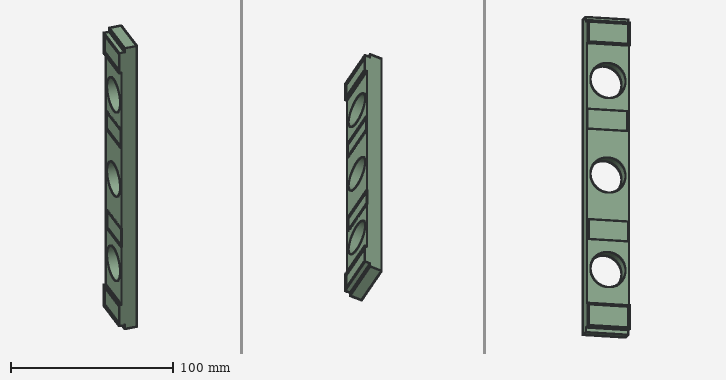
import cadquery as cq

length = 200.0
width = 27.0
total_thickness = 11.5
bar_thickness = 10.2
end_thickness = 8.0

pad_setback = 2.8
upper_pad_height = 14.5
lower_pad_height = 15.0
pad_rim = 0.9

hole_diameter = 22.2
hole_pitch = 60.0

recess_width = 25.2
middle_recess_height = 12.5
recess_depth = 0.5
middle_recess_z = 35.0
middle_recess_shift = 0.5

back_y = total_thickness / 2
pad_face_y = back_y - total_thickness
bar_face_y = back_y - bar_thickness
end_face_y = back_y - end_thickness
pad_outer_z = length / 2 - pad_setback


def make_bar():
    """Extrude the stepped side profile across the full width."""
    profile = [
        (back_y, length / 2),
        (end_face_y, length / 2),
        (end_face_y, pad_outer_z),
        (pad_face_y, pad_outer_z),
        (pad_face_y, pad_outer_z - upper_pad_height),
        (bar_face_y, pad_outer_z - upper_pad_height),
        (bar_face_y, lower_pad_height - pad_outer_z),
        (pad_face_y, lower_pad_height - pad_outer_z),
        (pad_face_y, -pad_outer_z),
        (end_face_y, -pad_outer_z),
        (end_face_y, -length / 2),
        (back_y, -length / 2),
    ]
    return cq.Workplane("YZ").polyline(profile).close().extrude(width / 2, both=True)


def make_hole(z):
    """Cylinder that passes right through the thickness."""
    return (
        cq.Workplane("XZ")
        .center(0, z)
        .circle(hole_diameter / 2)
        .extrude(total_thickness, both=True)
    )


def make_recess(x, z, face_y, height):
    """Rectangular block sunk from the given front face."""
    block = cq.Workplane("XY").box(recess_width, 2 * recess_depth, height)
    return block.translate((x, face_y, z))


result = make_bar()

for hole_z in (-hole_pitch, 0, hole_pitch):
    result = result.cut(make_hole(hole_z))

for side, pad_height in ((1, upper_pad_height), (-1, lower_pad_height)):
    pad_center_z = side * (pad_outer_z - pad_height / 2)
    result = result.cut(make_recess(0, pad_center_z, pad_face_y, pad_height - 2 * pad_rim))

for side in (-1, 1):
    recess_x = -side * middle_recess_shift
    recess_z = side * middle_recess_z
    result = result.cut(make_recess(recess_x, recess_z, bar_face_y, middle_recess_height))